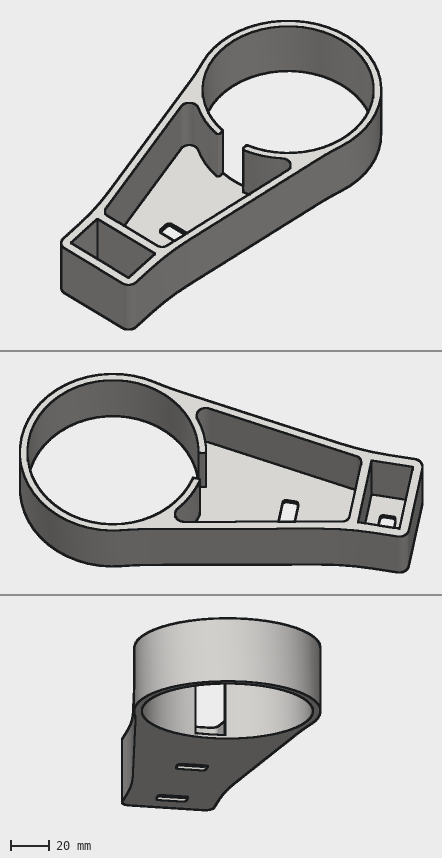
import cadquery as cq
import math

height = 35.0
length = 211.0
ring_radius = 98.2 / 2
bore_radius = 90.1 / 2
end_y = ring_radius - length
floor_thickness = 2.0

taper_angle = math.radians(10.6)
taper_axis_distance = 48.1
end_half_width = 24.7
end_corner_radius = 5.0
side_blend_radius = 149.9

side_wall = 4.5
end_wall = 5.0
main_pocket_start = 32.3
pocket_tip_radius = 4.9
pocket_corner_radius = 4.0
slot_width = 16.0
slot_height = 8.5
slot_corner_radius = 2.0
slot_distances = (16.0, 68.2)
lip_radius = 1.3


def taper_half_width(y, inset=0.0):
    """Half width at y between the tapered sides, each moved inward by inset."""
    return (taper_axis_distance - inset) / math.cos(taper_angle) + y * math.tan(taper_angle)


def taper_circle_y(inset=0.0):
    """Lower Y where a tapered side, moved inward by inset, meets the ring circle."""
    distance = taper_axis_distance - inset
    along = math.sqrt(ring_radius**2 - distance**2)
    return -distance * math.sin(taper_angle) - along * math.cos(taper_angle)


def mirrored_profile(right_points):
    """Closed outline from its right-hand points and their mirror images."""
    left_points = [(-x, y) for x, y in reversed(right_points)]
    return cq.Workplane("XY").polyline(right_points + left_points).close()


def vertical_edges_near(body, points, radius):
    """Round the vertical edges passing through the given points and their mirror images."""
    for x, y in points:
        for side in (-1, 1):
            edge = cq.selectors.NearestToPointSelector((side * x, y, height / 2))
            body = body.edges("|Z").edges(edge).fillet(radius)
    return body


def make_outer_body():
    join_y = taper_circle_y()
    join = (taper_half_width(join_y), join_y)
    waist_y = (end_half_width - taper_half_width(0)) / math.tan(taper_angle)
    waist = (end_half_width, waist_y)
    end_corner = (end_half_width, end_y)
    handle = mirrored_profile([end_corner, waist, join]).extrude(height)
    body = cq.Workplane("XY").circle(ring_radius).extrude(height).union(handle)
    body = vertical_edges_near(body, [join, waist], side_blend_radius)
    return vertical_edges_near(body, [end_corner], end_corner_radius)


def make_main_pocket():
    bottom_y = end_y + main_pocket_start
    bottom = (taper_half_width(bottom_y, side_wall), bottom_y)
    tip_y = taper_circle_y(side_wall)
    tip = (taper_half_width(tip_y, side_wall), tip_y)
    pocket = mirrored_profile([bottom, tip]).extrude(height)
    pocket = pocket.cut(cq.Workplane("XY").circle(ring_radius).extrude(height))
    pocket = vertical_edges_near(pocket, [tip], pocket_tip_radius)
    pocket = vertical_edges_near(pocket, [bottom], pocket_corner_radius)
    return pocket.translate((0, 0, floor_thickness))


def make_end_pocket():
    width = 2 * (end_half_width - end_wall)
    depth = main_pocket_start - 2 * end_wall
    centre_y = end_y + main_pocket_start / 2
    pocket = cq.Workplane("XY").center(0, centre_y).rect(width, depth).extrude(height)
    return pocket.translate((0, 0, floor_thickness))


def make_gap():
    """Opening through the ring wall, from the bore into the main pocket."""
    reach = ring_radius + lip_radius
    gap = cq.Workplane("XY").center(0, -reach / 2).rect(slot_width, reach).extrude(height)
    return gap.translate((0, 0, floor_thickness))


def make_slots():
    centres = [(0, end_y + distance) for distance in slot_distances]
    slots = cq.Workplane("XY").pushPoints(centres).rect(slot_width, slot_height).extrude(height)
    return slots.edges("|Z").fillet(slot_corner_radius)


def round_gap_lips(body):
    """Round the gap edges facing the main pocket."""
    lip_x = slot_width / 2
    lip = (lip_x, -math.sqrt(ring_radius**2 - lip_x**2))
    return vertical_edges_near(body, [lip], lip_radius)


bore = cq.Workplane("XY").circle(bore_radius).extrude(height)
result = make_outer_body().cut(bore).cut(make_main_pocket()).cut(make_end_pocket()).cut(make_gap())
result = round_gap_lips(result)
result = result.cut(make_slots())